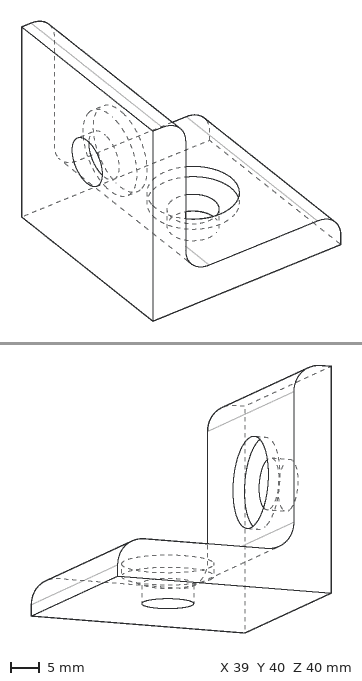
import cadquery as cq

width = 39.0
leg_length = 40.0
thickness = 7.0
round_radius = 5.0

hole_diameter = 9.0
sink_diameter = 16.0
sink_wall_depth = 2.15
sink_cone_depth = 1.3
hole_distance = 22.5


def make_angle():
    """L-shaped bar with a filleted inner corner and rounded inner tip edges."""
    profile = (
        cq.Workplane("YZ")
        .moveTo(0, 0)
        .lineTo(leg_length, 0)
        .lineTo(leg_length, thickness)
        .lineTo(thickness, thickness)
        .lineTo(thickness, leg_length)
        .lineTo(0, leg_length)
        .close()
    )
    bar = profile.extrude(width / 2, both=True)
    rounded_corners = [
        (0, leg_length, thickness),
        (0, thickness, thickness),
        (0, thickness, leg_length),
    ]
    for corner in rounded_corners:
        edge = cq.selectors.NearestToPointSelector(corner)
        bar = bar.edges("|X").edges(edge).fillet(round_radius)
    return bar


def make_screw_cutter():
    """Through hole with a cone and a straight recess, opening at the origin toward +Z."""
    hole_radius = hole_diameter / 2
    sink_radius = sink_diameter / 2
    cone_bottom = sink_wall_depth + sink_cone_depth
    half_section = (
        cq.Workplane("XZ")
        .moveTo(0, 0)
        .lineTo(sink_radius, 0)
        .lineTo(sink_radius, -sink_wall_depth)
        .lineTo(hole_radius, -cone_bottom)
        .lineTo(hole_radius, -thickness)
        .lineTo(0, -thickness)
        .close()
    )
    return half_section.revolve(360, (0, 0), (0, 1))


def cut_screw_hole(body, face_centre, outward):
    """Cut a screw hole that is countersunk on the inner face of a leg."""
    plane = cq.Plane(origin=face_centre, xDir=(1, 0, 0), normal=outward)
    cutter = make_screw_cutter().val().moved(cq.Location(plane))
    return body.cut(cq.Workplane(cutter))


result = make_angle()
result = cut_screw_hole(result, (0, hole_distance, thickness), (0, 0, 1))
result = cut_screw_hole(result, (0, thickness, hole_distance), (0, 1, 0))